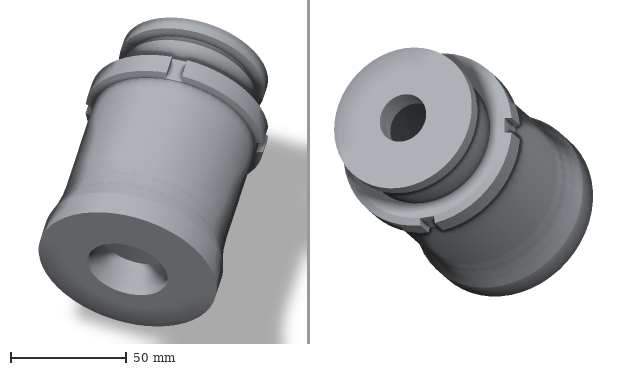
import cadquery as cq
import math

overall_length = 113.4

base_diameter = 80.0
base_radius = base_diameter / 2
base_length = 11.0
barrel_radius = 36.5
flare_end_y = 31.2
barrel_end_y = 77.0
neck_radius = 30.1
neck_chamfer = 1.6
groove_radius = 28.5
groove_start_y = 104.7
groove_end_y = 106.4
flange_radius = 32.7
flange_lip_radius = 29.0
flange_rim_y = 107.4

entry_radius = 18.0
entry_depth = 17.0
chamber_radius = 30.6
chamber_end_y = barrel_end_y - (barrel_radius - chamber_radius)
inner_bore_radius = 16.5
inner_bore_end_y = 102.1
through_radius = 11.0

ring_radius = base_radius
ring_width = 11.1
ring_bevel_length = 1.1
ring_bevel_depth = 3.2
slot_count = 4
slot_width = 6.8
slot_floor_radius = 37.0


def revolve_about_y(profile):
    """Turn a closed half profile, drawn as (radius, y), about the Y axis."""
    return profile.close().revolve(360, (0, 0), (0, 1))


def flare_midpoint():
    """Middle of the arc that leaves the barrel tangentially and widens to the base."""
    length = flare_end_y - base_length
    rise = base_radius - barrel_radius
    arc_radius = (length**2 + rise**2) / (2 * rise)
    half_angle = math.asin(length / arc_radius) / 2
    radius = barrel_radius + arc_radius * (1 - math.cos(half_angle))
    return radius, flare_end_y - arc_radius * math.sin(half_angle)


def make_housing():
    """Flared housing with a stepped bore, a neck, a groove and a rear flange."""
    profile = (
        cq.Workplane("XY")
        .moveTo(entry_radius, 0)
        .lineTo(base_radius, 0)
        .lineTo(base_radius, base_length)
        .threePointArc(flare_midpoint(), (barrel_radius, flare_end_y))
        .lineTo(barrel_radius, barrel_end_y)
        .lineTo(neck_radius, barrel_end_y)
        .lineTo(neck_radius, groove_start_y - neck_chamfer)
        .lineTo(groove_radius, groove_start_y)
        .lineTo(groove_radius, groove_end_y)
        .lineTo(flange_lip_radius, groove_end_y)
        .lineTo(flange_radius, flange_rim_y)
        .lineTo(flange_radius, overall_length)
        .lineTo(through_radius, overall_length)
        .lineTo(through_radius, inner_bore_end_y)
        .lineTo(inner_bore_radius, inner_bore_end_y)
        .lineTo(inner_bore_radius, chamber_end_y)
        .lineTo(chamber_radius, chamber_end_y)
        .lineTo(chamber_radius, entry_depth)
        .lineTo(entry_radius, entry_depth)
    )
    return revolve_about_y(profile)


def make_slot_cutter(angle):
    """Block that cuts one flat-floored slot across the ring's rim."""
    return (
        cq.Workplane("XY")
        .box(slot_width, ring_width, ring_radius, centered=(True, False, False))
        .translate((0, barrel_end_y, slot_floor_radius))
        .rotate((0, 0, 0), (0, 1, 0), angle)
    )


def make_slotted_ring():
    """Ring with bevelled rims and evenly spaced spanner slots."""
    ring_end_y = barrel_end_y + ring_width
    bevel_radius = ring_radius - ring_bevel_depth
    profile = (
        cq.Workplane("XY")
        .moveTo(neck_radius, barrel_end_y)
        .lineTo(bevel_radius, barrel_end_y)
        .lineTo(ring_radius, barrel_end_y + ring_bevel_length)
        .lineTo(ring_radius, ring_end_y - ring_bevel_length)
        .lineTo(bevel_radius, ring_end_y)
        .lineTo(neck_radius, ring_end_y)
    )
    ring = revolve_about_y(profile)
    for index in range(slot_count):
        ring = ring.cut(make_slot_cutter(index * 360 / slot_count))
    return ring


housing = make_housing()
slotted_ring = make_slotted_ring()

result = cq.Compound.makeCompound([housing.val(), slotted_ring.val()])